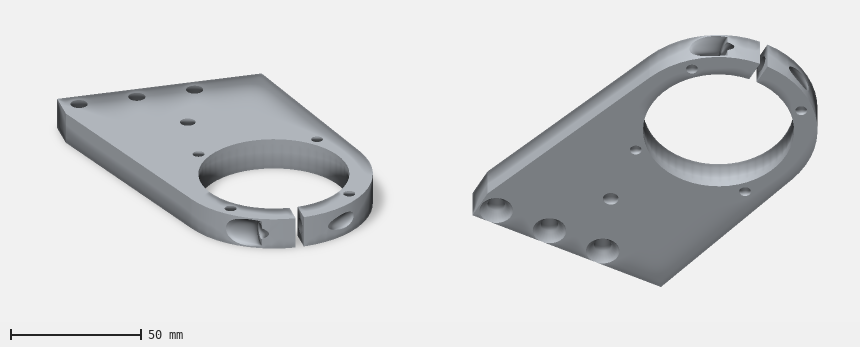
import cadquery as cq
import math

length = 120.5
thickness = 12.7
ring_radius = 38.1
bore_radius = 29.0
ring_x = length - ring_radius
ring_y = 64.0
left_edge_height = 81.5
bottom_edge_length = 12.7

slit_width = 3.3

ring_hole_diameter = 4.6
ring_hole_offset = 23.6

mount_hole_diameter = 6.6
mount_hole_x = 6.4
mount_hole_first_y = 7.0
mount_hole_pitch = 23.0
mount_hole_count = 3
countersink_diameter = 12.9
countersink_angle = 82

pin_hole_diameter = 6.0
pin_hole_position = (32.0, 43.4)

screw_x = 115.5
screw_hole_diameter = 6.4
screw_head_diameter = 11.5
screw_head_seat = 14.2


def tangent_point(start, side):
    """Point where a line from start touches the ring; side is +1 above, -1 below."""
    dx = start[0] - ring_x
    dy = start[1] - ring_y
    toward_start = math.atan2(dy, dx)
    spread = math.acos(ring_radius / math.hypot(dx, dy))
    angle = toward_start - side * spread
    return (ring_x + ring_radius * math.cos(angle), ring_y + ring_radius * math.sin(angle))


def plate():
    upper_corner = (0, left_edge_height)
    lower_corner = (bottom_edge_length, 0)
    return (
        cq.Workplane("XY")
        .lineTo(*lower_corner)
        .lineTo(*tangent_point(lower_corner, -1))
        .threePointArc((length, ring_y), tangent_point(upper_corner, 1))
        .lineTo(*upper_corner)
        .close()
        .extrude(thickness)
    )


def vertical_holes(points, diameter):
    return cq.Workplane("XY").pushPoints(points).circle(diameter / 2).extrude(thickness)


def countersinks(points):
    """Cones that open on the bottom face."""
    radius = countersink_diameter / 2
    depth = radius / math.tan(math.radians(countersink_angle / 2))
    cone = cq.Solid.makeCone(radius, 0, depth)
    return cq.Workplane("XY").pushPoints(points).eachpoint(lambda place: cone.moved(place))


def clamp_slit():
    slit = cq.Workplane("XY").box(ring_radius, slit_width, thickness, centered=(False, True, False))
    return slit.translate((ring_x, ring_y, 0))


def clamp_screw_hole():
    """Hole across the slit, with a seat for the screw head on the -Y side."""
    across = cq.Workplane("XZ", origin=(screw_x, ring_y, thickness / 2))
    hole = across.circle(screw_hole_diameter / 2).extrude(ring_radius, both=True)
    head = across.workplane(offset=screw_head_seat).circle(screw_head_diameter / 2).extrude(ring_radius)
    return hole.union(head)


mount_points = [
    (mount_hole_x, mount_hole_first_y + i * mount_hole_pitch) for i in range(mount_hole_count)
]
ring_points = [
    (ring_x + sx * ring_hole_offset, ring_y + sy * ring_hole_offset) for sx in (-1, 1) for sy in (-1, 1)
]

result = (
    plate()
    .cut(vertical_holes([(ring_x, ring_y)], 2 * bore_radius))
    .cut(vertical_holes(ring_points, ring_hole_diameter))
    .cut(vertical_holes(mount_points, mount_hole_diameter))
    .cut(countersinks(mount_points))
    .cut(vertical_holes([pin_hole_position], pin_hole_diameter))
    .cut(clamp_slit())
    .cut(clamp_screw_hole())
)